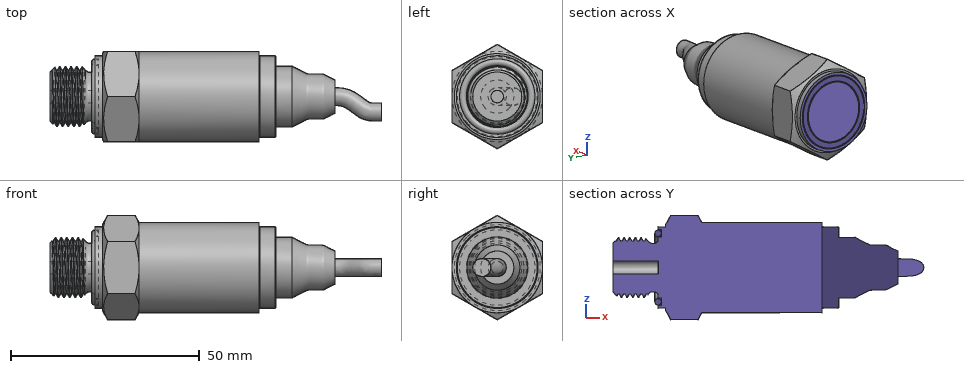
import cadquery as cq
import math


thread_diameter = 15.85
thread_root_diameter = 14.14
thread_pitch = 1.5
thread_flank_angle = 30.0
thread_cut_overshoot = 0.08
port_face_diameter = 13.0
relief_diameter = 13.0
relief_start = 10.4
relief_fillet = 1.0
port_bore_diameter = 3.3
port_bore_depth = 12.0

flange_diameter = 21.7
flange_face = 11.95
seal_inner_diameter = 16.4
seal_outer_diameter = 20.0
seal_section_radius = (seal_outer_diameter - seal_inner_diameter) / 4
seal_mean_radius = (seal_outer_diameter + seal_inner_diameter) / 4

hex_across_flats = 24.0
hex_corner_radius = hex_across_flats / math.sqrt(3)
hex_face_diameter = 22.8
hex_chamfer_angle = 30.0
hex_front = 13.9
hex_back = 23.65
body_diameter = 24.0
body_end = 55.5

collar_diameter = 21.7
collar_chamfer = 0.25
collar_end = 59.95
boot_diameter = 16.2
boot_cone_start = 64.2
neck_diameter = 12.0
neck_start = 68.3
neck_end = 72.45
neck_fillet = 1.2
gland_tip_diameter = 8.8
gland_end = 75.65

cable_diameter = 4.8
cable_bend_start = 79.0
cable_bend_end = 83.3
cable_bend_depth = 0.6
cable_offset = 4.1
cable_end = 87.95


def turned(profile):
    """Revolve a closed profile of (X, radius) around the X axis."""
    return profile.close().revolve(360, (0, 0, 0), (1, 0, 0))


def x_cylinder(start, end, diameter):
    return cq.Workplane("YZ", origin=(start, 0, 0)).circle(diameter / 2).extrude(end - start)


def make_port():
    """Thread blank with its end chamfer, its 45 degree run-out and a relief filleted at both ends."""
    crest = thread_diameter / 2
    face = port_face_diameter / 2
    relief = relief_diameter / 2
    lead_in = crest - face
    run_out_slope = math.radians(45)
    half_slope = run_out_slope / 2
    run_out_foot = relief_start - relief_fillet * math.sin(run_out_slope)
    run_out_height = relief + relief_fillet * (1 - math.cos(run_out_slope))
    corner = relief_fillet * (1 - math.sqrt(0.5))
    profile = (
        cq.Workplane("XY")
        .moveTo(0, 0)
        .lineTo(0, face)
        .lineTo(lead_in, crest)
        .lineTo(run_out_foot - (crest - run_out_height), crest)
        .lineTo(run_out_foot, run_out_height)
        .threePointArc(
            (
                relief_start - relief_fillet * math.sin(half_slope),
                relief + relief_fillet * (1 - math.cos(half_slope)),
            ),
            (relief_start, relief),
        )
        .lineTo(flange_face - relief_fillet, relief)
        .threePointArc(
            (flange_face - corner, relief + corner),
            (flange_face, relief + relief_fillet),
        )
        .lineTo(flange_face, 0)
    )
    return turned(profile)


def make_thread_groove():
    """Helical V groove with a narrow flat root, running out past both ends of the thread."""
    root_radius = thread_root_diameter / 2
    outer_radius = thread_diameter / 2 + thread_cut_overshoot
    slope = math.tan(math.radians(thread_flank_angle))
    thread_depth = (thread_diameter - thread_root_diameter) / 2
    crest_flat = thread_pitch / 8
    root_half_width = (thread_pitch - crest_flat) / 2 - thread_depth * slope
    outer_half_width = root_half_width + (outer_radius - root_radius) * slope
    groove_start = -thread_pitch
    groove_length = relief_start - groove_start

    helix = cq.Wire.makeHelix(thread_pitch, groove_length, root_radius)
    groove = (
        cq.Workplane("XZ")
        .polyline(
            [
                (root_radius, -root_half_width),
                (outer_radius, -outer_half_width),
                (outer_radius, outer_half_width),
                (root_radius, root_half_width),
            ]
        )
        .close()
        .sweep(cq.Workplane(helix), isFrenet=True)
    )
    return groove.rotate((0, 0, 0), (0, 1, 0), 90).translate((groove_start, 0, 0))


def make_hexagon():
    """Hexagon with corners up and down, chamfered at 30 degrees on both faces."""
    prism = (
        cq.Workplane("YZ", origin=(hex_front, 0, 0))
        .polygon(6, 2 * hex_corner_radius)
        .extrude(hex_back - hex_front)
        .rotate((0, 0, 0), (1, 0, 0), 90)
    )
    slope = math.tan(math.radians(hex_chamfer_angle))
    front_radius = hex_face_diameter / 2
    back_radius = body_diameter / 2
    chamfer_cones = turned(
        cq.Workplane("XY")
        .moveTo(hex_front, 0)
        .lineTo(hex_front, front_radius)
        .lineTo(hex_front + (hex_corner_radius - front_radius) * slope, hex_corner_radius)
        .lineTo(hex_back - (hex_corner_radius - back_radius) * slope, hex_corner_radius)
        .lineTo(hex_back, back_radius)
        .lineTo(hex_back, 0)
    )
    return prism.intersect(chamfer_cones)


def make_housing():
    flange = x_cylinder(flange_face, hex_front, flange_diameter)
    seal_groove = x_cylinder(
        flange_face, flange_face + seal_section_radius, seal_outer_diameter
    ).cut(x_cylinder(flange_face, flange_face + seal_section_radius, seal_inner_diameter))
    threaded_rod = x_cylinder(0, flange_face, thread_diameter).cut(make_thread_groove())
    port = make_port().intersect(threaded_rod)
    body = x_cylinder(hex_back, body_end, body_diameter)
    port_bore = x_cylinder(0, port_bore_depth, port_bore_diameter)
    return flange.cut(seal_groove).union(port).union(make_hexagon()).union(body).cut(port_bore)


def make_seal():
    """O-ring half sunk into the groove of the sealing flange."""
    return (
        cq.Workplane("XY")
        .center(flange_face, seal_mean_radius)
        .circle(seal_section_radius)
        .revolve(360, (0, -seal_mean_radius, 0), (1, -seal_mean_radius, 0))
    )


def make_gland():
    """Collar against the housing end, followed by the tapering boot."""
    collar = x_cylinder(body_end, collar_end, collar_diameter).edges().chamfer(collar_chamfer)
    boot = turned(
        cq.Workplane("XY")
        .moveTo(collar_end, 0)
        .lineTo(collar_end, boot_diameter / 2)
        .lineTo(boot_cone_start, boot_diameter / 2)
        .lineTo(neck_start, neck_diameter / 2)
        .lineTo(neck_end, neck_diameter / 2)
        .lineTo(gland_end, gland_tip_diameter / 2)
        .lineTo(gland_end, 0)
    )
    neck_middle = (neck_start + neck_end) / 2
    neck_edges = cq.selectors.BoxSelector(
        (neck_middle - neck_end + neck_start, -neck_diameter, -neck_diameter),
        (neck_middle + neck_end - neck_start, neck_diameter, neck_diameter),
    )
    boot = boot.edges("%CIRCLE").edges(neck_edges).fillet(neck_fillet)
    return collar.union(boot)


def make_cable():
    """Round cable with a smooth S bend towards -Y."""
    path_points = [
        (gland_end, 0),
        (cable_bend_start, -cable_bend_depth),
        (cable_bend_end, cable_bend_depth - cable_offset),
        (cable_end, -cable_offset),
    ]
    path = cq.Workplane("XY").spline(path_points, tangents=[(1, 0), (1, 0)])
    return cq.Workplane("YZ", origin=(gland_end, 0, 0)).circle(cable_diameter / 2).sweep(path)


housing = make_housing()
seal = make_seal()
gland = make_gland()
cable = make_cable()

result = cq.Compound.makeCompound([housing.val(), seal.val(), gland.val(), cable.val()])